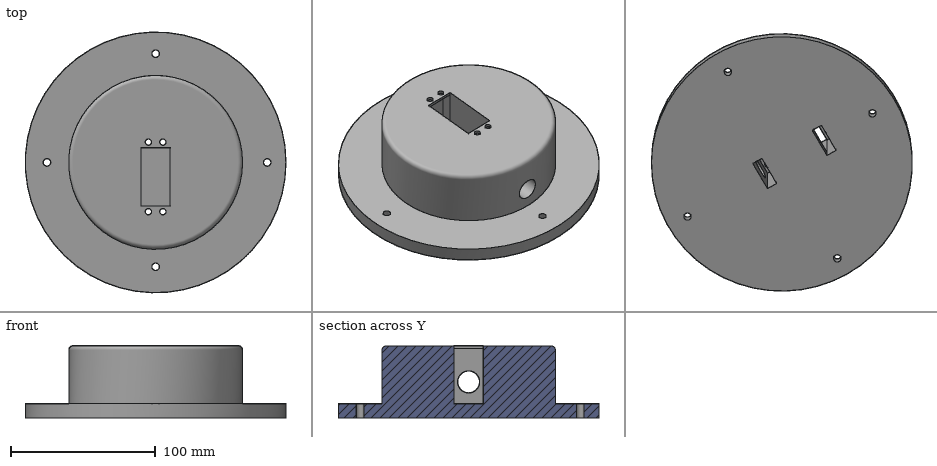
import cadquery as cq

flange_diameter = 180.0
flange_thickness = 10.0
drum_diameter = 120.0
total_height = 50.0
drum_edge_radius = 3.0

mount_hole_diameter = 5.0
mount_hole_centers = [(-75.0, 0.0), (77.0, 0.0), (0.0, 75.0), (0.0, -72.0)]

pocket_width = 20.0
pocket_length = 40.0
pocket_center_y = -10.0
pocket_back_clearance = 0.25
pocket_floor_z = 10.0

screw_hole_diameter = 4.1
screw_spacing_x = 10.0
screw_spacing_y = 48.0

channel_width = 20.4
channel_depth_y = 7.25
lid_thickness = 2.0

cable_hole_diameter = 15.0
cable_hole_z = 25.0


def make_body():
    flange = cq.Workplane("XY").circle(flange_diameter / 2).extrude(flange_thickness)
    drum = cq.Workplane("XY").circle(drum_diameter / 2).extrude(total_height)
    drum = drum.faces(">Z").edges().fillet(drum_edge_radius)
    return flange.union(drum)


def make_mount_holes():
    holes = cq.Workplane("XY").pushPoints(mount_hole_centers)
    return holes.circle(mount_hole_diameter / 2).extrude(flange_thickness)


def make_pocket():
    length = pocket_length + pocket_back_clearance
    center_y = pocket_center_y + pocket_back_clearance / 2
    outline = cq.Workplane("XY", origin=(0, center_y, pocket_floor_z))
    return outline.rect(pocket_width, length).extrude(total_height - pocket_floor_z)


def make_screw_holes():
    holes = cq.Workplane("XY", origin=(0, pocket_center_y, 0))
    holes = holes.rarray(screw_spacing_x, screw_spacing_y, 2, 2)
    return holes.circle(screw_hole_diameter / 2).extrude(total_height)


def make_end_channels():
    spacing = pocket_length + channel_depth_y
    outlines = cq.Workplane("XY", origin=(0, pocket_center_y, 0))
    outlines = outlines.pushPoints([(0, -spacing / 2), (0, spacing / 2)])
    return outlines.rect(channel_width, channel_depth_y).extrude(total_height - lid_thickness)


def make_cable_hole():
    drum_back_y = drum_diameter / 2
    pocket_back_y = pocket_center_y + pocket_length / 2
    start = cq.Workplane("XZ", origin=(0, drum_back_y, cable_hole_z))
    return start.circle(cable_hole_diameter / 2).extrude(drum_back_y - pocket_back_y)


result = (
    make_body()
    .cut(make_mount_holes())
    .cut(make_pocket())
    .cut(make_screw_holes())
    .cut(make_end_channels())
    .cut(make_cable_hole())
)